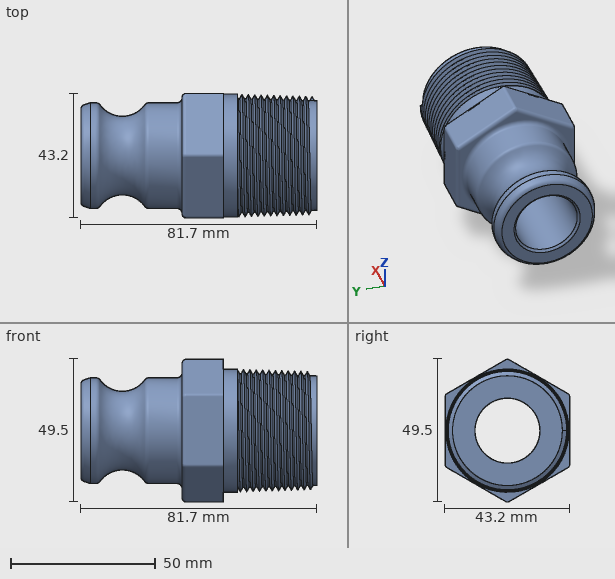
import cadquery as cq
import math


length = 81.7
groove_center = 14.4
hex_start = 35.0
hex_end = 49.3
collar_end = 54.3
lead_in_start = 79.3

bore_diameter = 22.4
bore_chamfer = 0.8

plug_radius = 36.7 / 2
nose_face_radius = 16.4
nose_taper_radius = 17.65
nose_round_length = 1.2
nose_taper_end = 3.3
groove_floor_radius = 13.65
groove_arc_radius = 9.6
groove_lip_round = 1.9
plug_root_fillet = 1.6

hex_flats = 43.15
hex_corner_round = 1.2
hex_face_round = 1.5

collar_radius = 42.65 / 2
core_start_radius = 19.8
thread_taper = 1 / 32
pitch = 2.2
turns = 12
ridge_height = 1.5
ridge_half_angle = 30.0
ridge_embed = 0.25
thread_end = 80.0


def core_radius(x):
    """Radius of the tapered thread core at a position along the axis."""
    return core_start_radius - thread_taper * (x - collar_end)


def make_cylinder(start, end, radius):
    """Solid cylinder on the part axis."""
    return cq.Workplane("YZ", origin=(start, 0, 0)).circle(radius).extrude(end - start)


def make_plug():
    """Solid plug with a rounded nose and a round cam groove."""
    arc_center_radius = groove_floor_radius + groove_arc_radius
    lip_center_radius = plug_radius - groove_lip_round
    center_rise = arc_center_radius - lip_center_radius
    center_distance = groove_arc_radius + groove_lip_round
    lip_offset = math.sqrt(center_distance**2 - center_rise**2)

    share = groove_arc_radius / center_distance
    touch_offset = lip_offset * share
    touch_radius = arc_center_radius - center_rise * share

    fillet_start = hex_start - plug_root_fillet
    flange_radius = plug_radius + plug_root_fillet

    profile = (
        cq.Workplane("XY")
        .moveTo(nose_taper_end, plug_radius)
        .lineTo(nose_round_length, nose_taper_radius)
        .tangentArcPoint((0, nose_face_radius), relative=False)
        .lineTo(0, 0)
        .lineTo(hex_end, 0)
        .lineTo(hex_end, flange_radius)
        .lineTo(hex_start, flange_radius)
        .radiusArc((fillet_start, plug_radius), plug_root_fillet)
        .lineTo(groove_center + lip_offset, plug_radius)
        .radiusArc((groove_center + touch_offset, touch_radius), -groove_lip_round)
        .threePointArc(
            (groove_center, groove_floor_radius),
            (groove_center - touch_offset, touch_radius),
        )
        .radiusArc((groove_center - lip_offset, plug_radius), -groove_lip_round)
        .close()
    )
    return profile.revolve(360, (0, 0, 0), (1, 0, 0))


def make_hexagon():
    """Hexagon with corners up and down, rounded on its corners and plug-side face."""
    across_corners = hex_flats / math.cos(math.radians(30))
    return (
        cq.Workplane("YZ", origin=(hex_start, 0, 0))
        .transformed(rotate=(0, 0, 90))
        .polygon(6, across_corners)
        .extrude(hex_end - hex_start)
        .edges("|X")
        .fillet(hex_corner_round)
        .faces("<X")
        .edges()
        .fillet(hex_face_round)
    )


def make_thread_core():
    """Tapered core of the thread, starting at the back of the hexagon."""
    return cq.Workplane(
        cq.Solid.makeCone(
            core_radius(hex_end),
            core_radius(length),
            length - hex_end,
            pnt=cq.Vector(hex_end, 0, 0),
            dir=cq.Vector(1, 0, 0),
        )
    )


def make_thread_ridge():
    """Right-hand helical ridge of triangular section that follows the core taper."""
    height = turns * pitch
    start = thread_end - height
    base_radius = core_radius(start) - ridge_embed
    half_width = (ridge_height + ridge_embed) * math.tan(math.radians(ridge_half_angle))
    taper_angle = math.degrees(math.atan(thread_taper))

    path = cq.Wire.makeHelix(pitch, height, base_radius, angle=-taper_angle)
    ridge = (
        cq.Workplane("XZ")
        .moveTo(base_radius, -half_width)
        .lineTo(base_radius + ridge_height + ridge_embed, 0)
        .lineTo(base_radius, half_width)
        .close()
        .sweep(cq.Workplane(path), isFrenet=True)
    )
    return (
        ridge.rotate((0, 0, 0), (0, 1, 0), 90)
        .rotate((0, 0, 0), (1, 0, 0), 90)
        .translate((start, 0, 0))
    )


def make_bore():
    """Straight bore through the part with a chamfered mouth on the plug side."""
    bore_radius = bore_diameter / 2
    mouth = cq.Solid.makeCone(
        bore_radius + bore_chamfer,
        bore_radius,
        bore_chamfer,
        pnt=cq.Vector(0, 0, 0),
        dir=cq.Vector(1, 0, 0),
    )
    return make_cylinder(0, length, bore_radius).union(cq.Workplane(mouth))


thread = make_thread_core().union(make_thread_ridge())
collar = make_cylinder(hex_end, collar_end, collar_radius)
lead_in = make_cylinder(lead_in_start, length, core_radius(lead_in_start))

result = (
    thread.union(lead_in)
    .union(collar)
    .union(make_hexagon())
    .union(make_plug())
    .cut(make_bore())
    .solids()
)